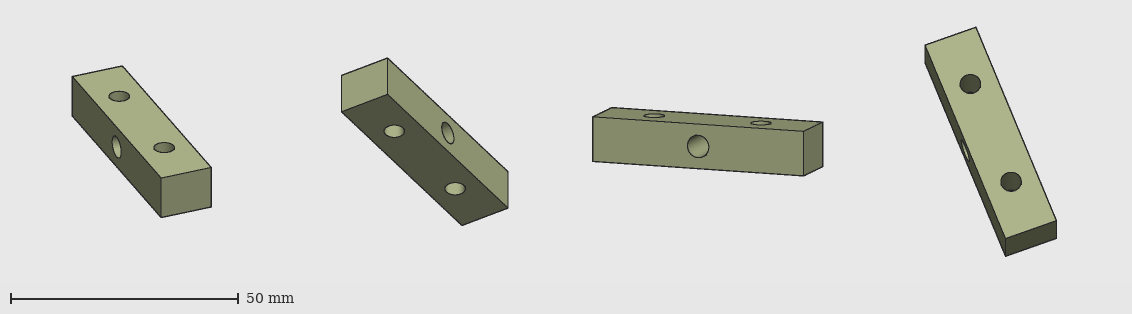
import cadquery as cq

length = 49.5
width = 12.0
height = 10.0

vertical_hole_diameter = 4.5
vertical_hole_spacing = 25.0

cross_hole_diameter = 5.0


def make_block():
    """Plain rectangular bar centred on the origin."""
    return cq.Workplane("XY").box(length, width, height)


def cut_vertical_holes(body):
    """Through holes along Z on the lengthwise centre line."""
    half_spacing = vertical_hole_spacing / 2
    centres = [(-half_spacing, 0), (half_spacing, 0)]
    return body.faces(">Z").workplane().pushPoints(centres).hole(vertical_hole_diameter)


def cut_cross_hole(body):
    """Through hole along Y at the centre of the front face."""
    return body.faces("<Y").workplane(centerOption="CenterOfBoundBox").hole(cross_hole_diameter)


result = cut_cross_hole(cut_vertical_holes(make_block()))